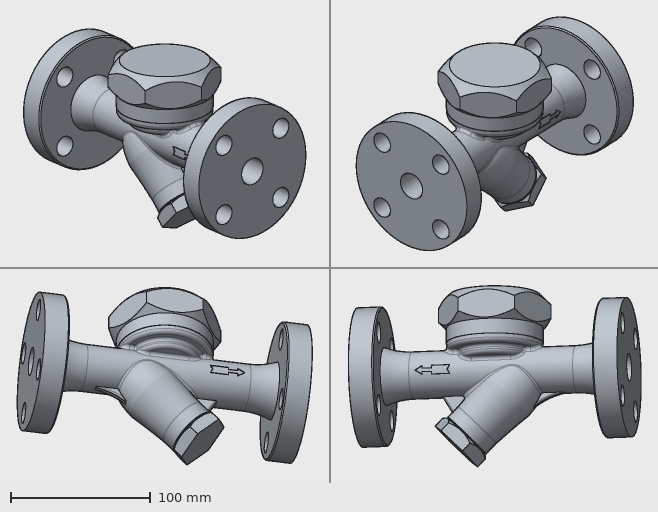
import cadquery as cq
import math

overall_length = 195.0
pipe_diameter = 34.0
bore_diameter = 20.0
pipe_radius = pipe_diameter / 2
half_length = overall_length / 2

flange_diameter = 100.0
flange_thickness = 18.0
flange_chamfer = 1.0
bolt_hole_diameter = 15.0
bolt_circle_diameter = 75.0
bolt_hole_count = 4
first_bolt_hole_angle = 45.0
flange_inner_x = half_length - flange_thickness

neck_length = 20.0
neck_root_radius = 20.9
neck_start_x = flange_inner_x - neck_length
bore_depth = flange_thickness + neck_length

seat_diameter = 69.0
seat_bottom_z = 15.3
seat_round = 3.0
lower_disc_diameter = 52.5
lower_disc_bottom_z = 8.5
lower_disc_round = 3.1
seat_blend_radius = 2.3
seat_joint_low_corner = (-seat_diameter / 2, -seat_diameter / 2, 0)
seat_joint_high_corner = (seat_diameter / 2, seat_diameter / 2, pipe_radius)

skirt_diameter = 69.5
skirt_bottom_z = 21.2
cap_bottom_z = 32.0
cap_top_z = 56.3
cap_across_flats = 71.0
cap_top_circle_diameter = 65.0

branch_origin_x = -25.3
branch_slope = 45.0
branch_diameter = 38.0
branch_start = 1.0
branch_start_radius = 15.0
branch_shoulder = 7.0
branch_shoulder_radius = 19.0
branch_widest = 18.0
branch_widest_radius = 21.4
branch_taper_end = 54.0
branch_end = 65.2
branch_end_chamfer = 0.8
branch_blend_radius = 2.0
branch_joint_low_corner = (-34.0, -25.0, -25.0)
branch_joint_high_corner = (30.0, 25.0, 3.0)

plug_end = 75.2
plug_across_flats = 38.0
plug_chamfer_height = 2.2

web_thickness = 5.0
web_edge_round = 1.2
web_top_z = -12.0
left_web_start = (-50.6, -17.0)
left_web_middle = (-38.0, -21.0)
left_web_end = (-27.5, -27.6)
left_web_inner_x = -20.0
right_web_start = (40.6, web_top_z)
right_web_end = (28.9, -31.0)
right_web_inner_x = 10.0

arrow_tail_x = 29.8
arrow_notch_x = 31.6
arrow_shaft_x = 42.9
arrow_head_x = 49.8
arrow_tip_x = 54.8
arrow_half_width = 3.2
arrow_shaft_half_width = 1.3
arrow_height = 0.4


def hexagon_prism(across_flats, bottom, top):
    """Hexagonal prism along Z with flats facing +Y and -Y."""
    across_corners = across_flats / math.cos(math.pi / 6)
    return cq.Workplane("XY").workplane(offset=bottom).polygon(6, across_corners).extrude(top - bottom)


def revolve_about_z(outline):
    """Full turn about Z of a closed outline drawn as radius and height in the XZ plane."""
    return outline.close().revolve(360, (0, 0, 0), (0, 1, 0))


def make_pipe_end():
    """Half of the pipe run on the +X side: pipe, flared neck and flange."""
    neck_rise = neck_root_radius - pipe_radius
    flare_radius = (neck_length**2 + neck_rise**2) / (2 * neck_rise)
    half_way = neck_length / 2
    flare_mid_radius = pipe_radius + flare_radius - math.sqrt(flare_radius**2 - half_way**2)
    flange_radius = flange_diameter / 2
    return (
        cq.Workplane("XY")
        .moveTo(0, 0)
        .lineTo(0, pipe_radius)
        .lineTo(neck_start_x, pipe_radius)
        .threePointArc((neck_start_x + half_way, flare_mid_radius), (flange_inner_x, neck_root_radius))
        .lineTo(flange_inner_x, flange_radius - flange_chamfer)
        .lineTo(flange_inner_x + flange_chamfer, flange_radius)
        .lineTo(half_length, flange_radius)
        .lineTo(half_length, 0)
        .close()
        .revolve(360, (0, 0, 0), (1, 0, 0))
    )


def make_seat():
    """Two stacked discs that carry the cap."""
    seat = (
        cq.Workplane("XY")
        .workplane(offset=seat_bottom_z)
        .circle(seat_diameter / 2)
        .extrude(cap_bottom_z - seat_bottom_z)
        .faces("<Z")
        .edges()
        .fillet(seat_round)
    )
    lower_disc = (
        cq.Workplane("XY")
        .workplane(offset=lower_disc_bottom_z)
        .circle(lower_disc_diameter / 2)
        .extrude(cap_bottom_z - lower_disc_bottom_z)
        .faces("<Z")
        .edges()
        .fillet(lower_disc_round)
    )
    return seat.union(lower_disc)


def make_cap():
    """Hexagonal cap with corners turned off at 45 degrees on both ends, plus its skirt."""
    corner_radius = cap_across_flats / math.sqrt(3)
    top_radius = cap_top_circle_diameter / 2
    skirt_radius = skirt_diameter / 2
    turned_blank = revolve_about_z(
        cq.Workplane("XZ")
        .moveTo(0, cap_bottom_z)
        .lineTo(skirt_radius, cap_bottom_z)
        .lineTo(corner_radius, cap_bottom_z + corner_radius - skirt_radius)
        .lineTo(corner_radius, cap_top_z - corner_radius + top_radius)
        .lineTo(top_radius, cap_top_z)
        .lineTo(0, cap_top_z)
    )
    hexagon = hexagon_prism(cap_across_flats, cap_bottom_z, cap_top_z).intersect(turned_blank)
    skirt = (
        cq.Workplane("XY")
        .workplane(offset=skirt_bottom_z)
        .circle(skirt_radius)
        .extrude(cap_bottom_z - skirt_bottom_z)
    )
    return hexagon.union(skirt)


def place_on_branch(shape):
    """Move a shape built along +Z onto the sloping branch axis."""
    return shape.rotate((0, 0, 0), (0, 1, 0), 90 + branch_slope).translate((branch_origin_x, 0, 0))


def make_branch():
    """Bulging strainer branch, round about its own axis."""
    end_radius = branch_diameter / 2
    bulge_points = [
        (branch_shoulder_radius, branch_shoulder),
        (branch_widest_radius, branch_widest),
        (end_radius, branch_taper_end),
    ]
    bulge_start_direction = (1, 1)
    taper_direction = (end_radius - branch_widest_radius, branch_taper_end - branch_widest)
    return place_on_branch(
        revolve_about_z(
            cq.Workplane("XZ")
            .moveTo(0, branch_start)
            .lineTo(branch_start_radius, branch_start)
            .spline(bulge_points, tangents=[bulge_start_direction, taper_direction], includeCurrent=True)
            .lineTo(end_radius, branch_end - branch_end_chamfer)
            .lineTo(end_radius - branch_end_chamfer, branch_end)
            .lineTo(0, branch_end)
        )
    )


def make_plug():
    """Hexagonal plug whose corners are turned off on the branch side."""
    inner_radius = plug_across_flats / 2
    corner_radius = plug_across_flats / math.sqrt(3)
    turned_blank = revolve_about_z(
        cq.Workplane("XZ")
        .moveTo(0, branch_end)
        .lineTo(inner_radius, branch_end)
        .lineTo(corner_radius, branch_end + plug_chamfer_height)
        .lineTo(corner_radius, plug_end)
        .lineTo(0, plug_end)
    )
    return place_on_branch(hexagon_prism(plug_across_flats, branch_end, plug_end).intersect(turned_blank))


def make_web(free_edge, inner_x):
    """Plate bounded by its free edge and running inside the pipe and branch up to inner_x."""
    outline = free_edge.hLineTo(inner_x).vLineTo(web_top_z).close()
    return outline.extrude(web_thickness / 2, both=True)


def make_webs():
    """Two webs with rounded free edges."""
    left_edge = (
        cq.Workplane("XZ")
        .moveTo(left_web_start[0], web_top_z)
        .lineTo(*left_web_start)
        .threePointArc(left_web_middle, left_web_end)
    )
    right_edge = cq.Workplane("XZ").moveTo(*right_web_start).lineTo(*right_web_end)
    left_web = make_web(left_edge, left_web_inner_x)
    right_web = make_web(right_edge, right_web_inner_x)
    left_web = left_web.faces("%CYLINDER").edges("%CIRCLE").fillet(web_edge_round)
    right_web = right_web.faces(">X").edges("not |Y").fillet(web_edge_round)
    return left_web, right_web


def make_arrows():
    """Thin arrows, curved like the pipe, on its +Y and -Y sides."""
    half_outline = [
        (arrow_tail_x, arrow_half_width),
        (arrow_shaft_x, arrow_half_width),
        (arrow_shaft_x, arrow_shaft_half_width),
        (arrow_head_x, arrow_shaft_half_width),
        (arrow_head_x, arrow_half_width),
    ]
    mirrored_outline = [(x, -z) for x, z in reversed(half_outline)]
    outline = half_outline + [(arrow_tip_x, 0)] + mirrored_outline + [(arrow_notch_x, 0)]
    through_arrow = cq.Workplane("XZ").polyline(outline).close().extrude(pipe_diameter, both=True)
    sleeve = cq.Workplane("YZ").circle(pipe_radius + arrow_height).extrude(half_length)
    return through_arrow.intersect(sleeve)


def cut_passages(body):
    """Bolt holes through the flanges and a bore into each end."""
    for side in (-1, 1):
        end_face = cq.Workplane("YZ", origin=(side * half_length, 0, 0))
        bolt_holes = (
            end_face.polarArray(bolt_circle_diameter / 2, first_bolt_hole_angle, 360, bolt_hole_count)
            .circle(bolt_hole_diameter / 2)
            .extrude(-side * flange_thickness)
        )
        bore = end_face.circle(bore_diameter / 2).extrude(-side * bore_depth)
        body = body.cut(bolt_holes).cut(bore)
    return body


def blend_edges(body, radius, low_corner, high_corner):
    """Round the edges of the body that are centred inside a box."""
    return body.edges(cq.selectors.BoxSelector(low_corner, high_corner)).fillet(radius)


pipe_end = make_pipe_end()
body = pipe_end.union(pipe_end.mirror("YZ")).clean()

body = body.union(make_seat())
body = blend_edges(body, seat_blend_radius, seat_joint_low_corner, seat_joint_high_corner)

body = body.union(make_branch())
body = blend_edges(body, branch_blend_radius, branch_joint_low_corner, branch_joint_high_corner)

for feature in (*make_webs(), make_cap(), make_plug(), make_arrows()):
    body = body.union(feature)
result = cut_passages(body)